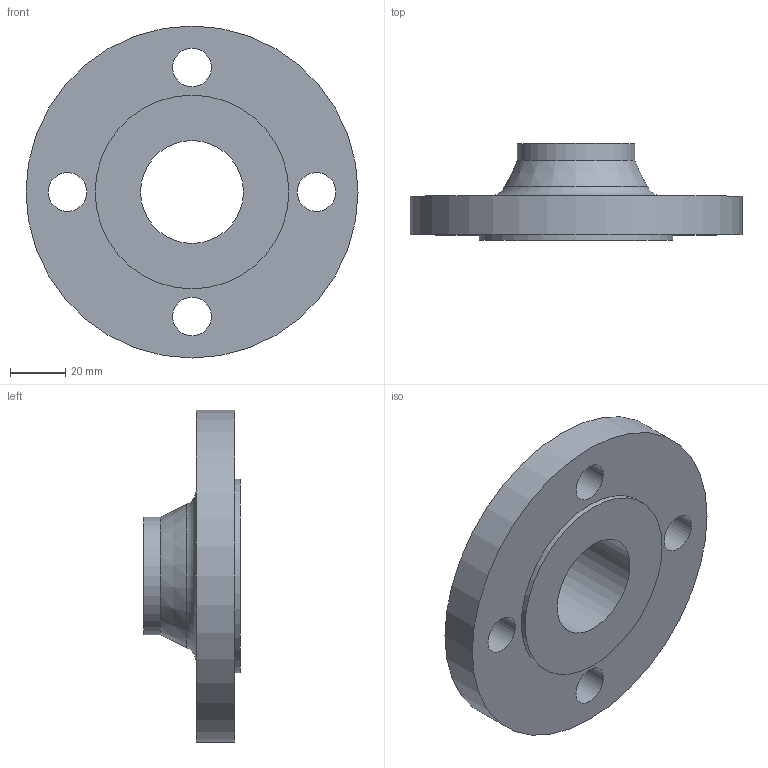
import cadquery as cq


flange_diameter = 120.0
total_length = 35.0
raised_face_diameter = 70.0
raised_face_height = 2.0
flange_thickness = 14.0

hub_base_diameter = 55.0
neck_diameter = 42.4
neck_length = 6.0
hub_fillet_radius = 6.0

wall_thickness = 2.6
bore_diameter = neck_diameter - 2 * wall_thickness
bolt_hole_diameter = 14.0
bolt_circle_diameter = 90.0
bolt_count = 4

flange_front = raised_face_height
flange_back = flange_front + flange_thickness
neck_start = total_length - neck_length


def revolved_body():
    """Raised face, flange disc, conical hub and neck as one solid of revolution."""
    half_profile = (
        cq.Workplane("YZ")
        .moveTo(0, 0)
        .lineTo(0, raised_face_diameter / 2)
        .lineTo(flange_front, raised_face_diameter / 2)
        .lineTo(flange_front, flange_diameter / 2)
        .lineTo(flange_back, flange_diameter / 2)
        .lineTo(flange_back, hub_base_diameter / 2)
        .lineTo(neck_start, neck_diameter / 2)
        .lineTo(total_length, neck_diameter / 2)
        .lineTo(total_length, 0)
        .close()
    )
    return half_profile.revolve(360, (0, 0, 0), (1, 0, 0))


def fillet_hub_base(body):
    """Round the inside corner between the hub cone and the back of the flange."""
    corner_radius = hub_base_diameter / 2
    radius_tolerance = 1e-6
    circles = body.edges("%CIRCLE")
    hub_corner = circles.filter(lambda edge: abs(edge.radius() - corner_radius) < radius_tolerance)
    return hub_corner.fillet(hub_fillet_radius)


def cylinder_along_axis(diameter):
    """Full-length cutting cylinder along Y, centred on the flange axis."""
    return cq.Workplane("XZ").circle(diameter / 2).extrude(-total_length)


def bolt_hole_cutters():
    """Bolt hole cylinders on the bolt circle, the first one on +X."""
    return (
        cq.Workplane("XZ")
        .polarArray(bolt_circle_diameter / 2, 0, 360, bolt_count)
        .circle(bolt_hole_diameter / 2)
        .extrude(-total_length)
    )


result = fillet_hub_base(revolved_body())
result = result.cut(cylinder_along_axis(bore_diameter))
result = result.cut(bolt_hole_cutters())